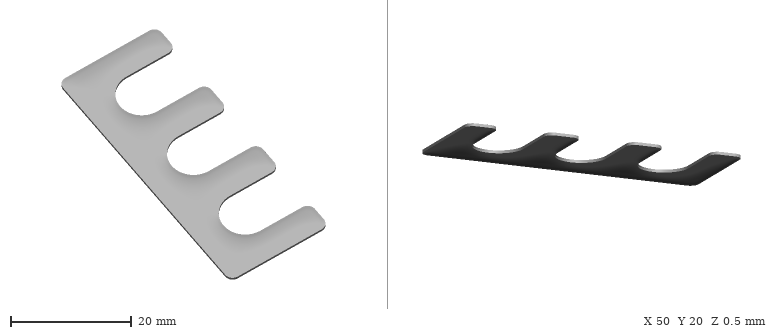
import cadquery as cq

length = 50.0
width = 20.0
thickness = 0.5
corner_radius = 1.5

slot_count = 3
slot_pitch = 15.0
slot_width = 8.8
slot_radius = slot_width / 2
slot_center_y = 10.0


def make_plate():
    """Flat plate with its middle at X = 0 and its -Y edge at Y = 0."""
    return cq.Workplane("XY").box(length, width, thickness, centered=(True, False, False))


def make_slot(center_x):
    """Cutter for one slot, running straight out through the +Y edge."""
    return (
        cq.Workplane("XY")
        .moveTo(center_x - slot_radius, width)
        .lineTo(center_x - slot_radius, slot_center_y)
        .threePointArc(
            (center_x, slot_center_y - slot_radius),
            (center_x + slot_radius, slot_center_y),
        )
        .lineTo(center_x + slot_radius, width)
        .close()
        .extrude(thickness)
    )


plate = make_plate()
for index in range(slot_count):
    offset = index - (slot_count - 1) / 2
    plate = plate.cut(make_slot(offset * slot_pitch))

tip_edges = plate.faces(">Y").edges("|Z")
base_edges = plate.faces("<Y").edges("|Z")
result = plate.newObject(tip_edges.vals() + base_edges.vals()).fillet(corner_radius)